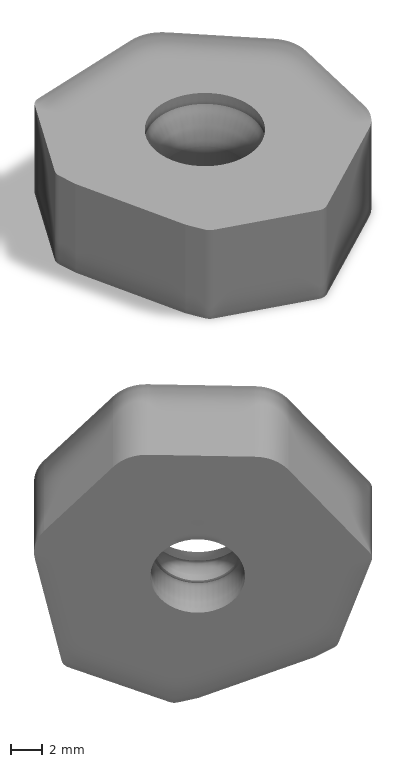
import cadquery as cq
import math

sides = 7
height = 7.2
inscribed_radius = 10.0
blunt_corner_radius = 2.8
tip_corner_radius = 0.8

side_tip_y = -3.18
lower_tip_x = 5.79
base_half_width = 4.15
base_y = -9.25
base_bevel_angle = 8.6

hole_entry_radius = 3.875
hole_throat_radius = 2.85
hole_relief_radius = 3.05
hole_entry_depth = 0.89
hole_flare_radius = 4.0
hole_relief_depth = 4.18


def heptagon_corner(index):
    """Corner of the regular heptagon, counted clockwise from the one on +Y."""
    corner_radius = inscribed_radius / math.cos(math.pi / sides)
    angle = math.pi / 2 - index * 2 * math.pi / sides
    return (corner_radius * math.cos(angle), corner_radius * math.sin(angle))


def side_edge_x(y):
    """X of the right-hand heptagon side, extended down to the given Y."""
    upper_x, upper_y = heptagon_corner(1)
    lower_x, lower_y = heptagon_corner(2)
    return upper_x + (y - upper_y) * (lower_x - upper_x) / (lower_y - upper_y)


def mirrored(point):
    return (-point[0], point[1])


def round_corners(body, corners, radius):
    """Fillet the vertical edges that stand on the given outline corners."""
    reach = 0.01
    for x, y in corners:
        near_corner = cq.selectors.BoxSelector(
            (x - reach, y - reach, -reach),
            (x + reach, y + reach, height + reach),
        )
        body = body.edges("|Z").edges(near_corner).fillet(radius)
    return body


def make_body():
    top_corner = heptagon_corner(0)
    shoulder = heptagon_corner(1)
    side_tip = (side_edge_x(side_tip_y), side_tip_y)
    bevel_rise = (lower_tip_x - base_half_width) * math.tan(math.radians(base_bevel_angle))
    lower_tip = (lower_tip_x, base_y + bevel_rise)
    base_end = (base_half_width, base_y)

    right_half = [shoulder, side_tip, lower_tip, base_end]
    left_half = [mirrored(point) for point in reversed(right_half)]
    outline = [top_corner] + right_half + left_half
    body = cq.Workplane("XY").polyline(outline).close().extrude(height)

    blunt_corners = [top_corner, shoulder, mirrored(shoulder)]
    tips = [side_tip, lower_tip, mirrored(side_tip), mirrored(lower_tip)]
    body = round_corners(body, blunt_corners, blunt_corner_radius)
    return round_corners(body, tips, tip_corner_radius)


def make_screw_hole():
    """Straight entry, then a convex flare running tangent into the throat, then a wider relief below."""
    flare_angle = math.acos(1 - (hole_entry_radius - hole_throat_radius) / hole_flare_radius)
    relief_top = height - hole_relief_depth
    flare_top = height - hole_entry_depth
    flare_bottom = flare_top - hole_flare_radius * math.sin(flare_angle)
    flare_middle = (
        hole_throat_radius + hole_flare_radius * (1 - math.cos(flare_angle / 2)),
        flare_bottom + hole_flare_radius * math.sin(flare_angle / 2),
    )
    profile = (
        cq.Workplane("XZ")
        .lineTo(hole_relief_radius, 0)
        .lineTo(hole_relief_radius, relief_top)
        .lineTo(hole_throat_radius, relief_top)
        .lineTo(hole_throat_radius, flare_bottom)
        .threePointArc(flare_middle, (hole_entry_radius, flare_top))
        .lineTo(hole_entry_radius, height)
        .lineTo(0, height)
        .close()
    )
    return profile.revolve(360, (0, 0, 0), (0, 1, 0))


result = make_body().cut(make_screw_hole())